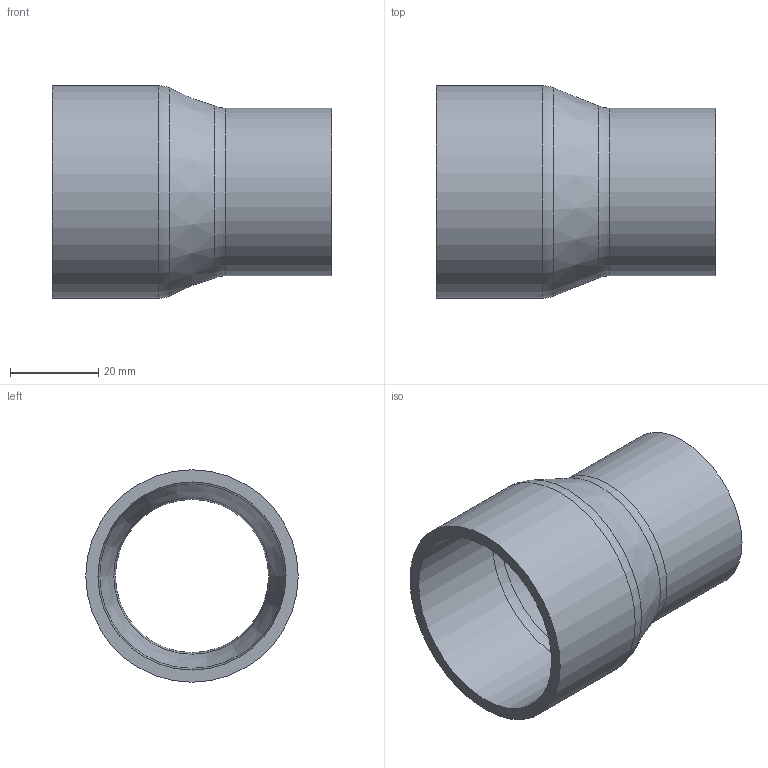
import cadquery as cq
import math

LENGTH = 63.5
LARGE_OUTER_RADIUS = 48.26 / 2
LARGE_BORE_RADIUS = 42.72 / 2
SMALL_OUTER_RADIUS = 38.1 / 2
SMALL_BORE_RADIUS = 34.8 / 2
STRAIGHT_LENGTH = 24.13
BLEND_LENGTH = 2.54
TANGENCY_STEPS = 50
BORE_SHIFT = 0.5

OUTER_TRANSITION_START = STRAIGHT_LENGTH
TRANSITION_LENGTH = LENGTH - 2 * STRAIGHT_LENGTH
BORE_TRANSITION_START = OUTER_TRANSITION_START - BORE_SHIFT


def reducer_body(large_radius, small_radius, transition_start):
    """Solid of revolution: cylinder, tangent arc, cone, tangent arc, cylinder."""
    drop = large_radius - small_radius
    cone_length = TRANSITION_LENGTH - 2 * BLEND_LENGTH
    cone_angle = math.atan2(drop, TRANSITION_LENGTH)
    for _ in range(TANGENCY_STEPS):
        arc_drop = BLEND_LENGTH * math.tan(cone_angle / 2)
        cone_angle = math.atan2(drop - 2 * arc_drop, cone_length)

    cone_start_x = transition_start + BLEND_LENGTH
    cone_end_x = cone_start_x + cone_length
    transition_end = transition_start + TRANSITION_LENGTH
    return (
        cq.Workplane("XY")
        .lineTo(0, large_radius)
        .lineTo(transition_start, large_radius)
        .tangentArcPoint((cone_start_x, large_radius - arc_drop), relative=False)
        .lineTo(cone_end_x, small_radius + arc_drop)
        .tangentArcPoint((transition_end, small_radius), relative=False)
        .lineTo(LENGTH, small_radius)
        .lineTo(LENGTH, 0)
        .close()
        .revolve(360, (0, 0, 0), (1, 0, 0))
    )


outside = reducer_body(LARGE_OUTER_RADIUS, SMALL_OUTER_RADIUS, OUTER_TRANSITION_START)
bore = reducer_body(LARGE_BORE_RADIUS, SMALL_BORE_RADIUS, BORE_TRANSITION_START)
result = outside.cut(bore)